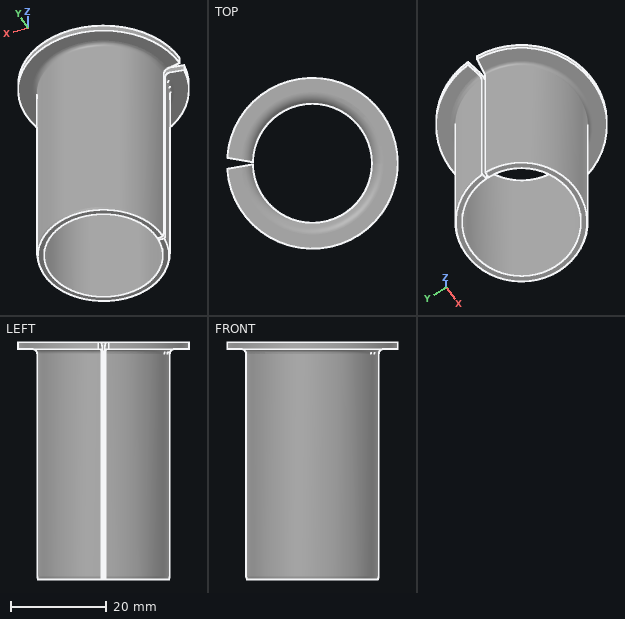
import cadquery as cq
import math

length = 50.0
wall = 1.5
bore_radius = 12.5
flange_radius = 18.0
flare_radius = 2.5
chamfer_height = 0.7
chamfer_depth = 0.2
gap_at_bore = 0.4
gap_at_rim = 2.3

body_radius = bore_radius + wall
flange_underside = length - wall
neck_radius = flare_radius - wall
flare_center_r = bore_radius + flare_radius
flare_center_z = length - flare_radius


def arc_middle(radius):
    """Midpoint of a quarter arc about the shared centre of the bend."""
    offset = radius * math.sqrt(0.5)
    return flare_center_r - offset, flare_center_z + offset


def flanged_sleeve():
    """Revolve the wall section about Z, with X of the sketch as the radius."""
    return (
        cq.Workplane("XZ")
        .moveTo(bore_radius, 0)
        .lineTo(body_radius - chamfer_depth, 0)
        .lineTo(body_radius, chamfer_height)
        .lineTo(body_radius, flare_center_z)
        .threePointArc(arc_middle(neck_radius), (flare_center_r, flange_underside))
        .lineTo(flange_radius, flange_underside)
        .lineTo(flange_radius, length)
        .lineTo(flare_center_r, length)
        .threePointArc(arc_middle(flare_radius), (bore_radius, flare_center_z))
        .close()
        .revolve(360, (0, 0, 0), (0, 1, 0))
    )


def split_wedge():
    """Full-length wedge on the -X side, widening outward from its apex."""
    half_gap_growth = (gap_at_rim - gap_at_bore) / 2 / (flange_radius - bore_radius)
    apex_radius = bore_radius - gap_at_bore / 2 / half_gap_growth
    outer_reach = flange_radius + wall
    half_width = (outer_reach - apex_radius) * half_gap_growth
    return (
        cq.Workplane("XY")
        .moveTo(-apex_radius, 0)
        .lineTo(-outer_reach, half_width)
        .lineTo(-outer_reach, -half_width)
        .close()
        .extrude(length)
    )


result = flanged_sleeve().cut(split_wedge())